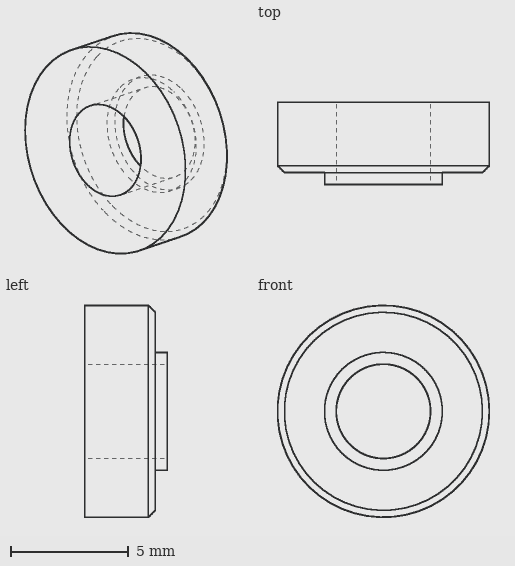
import cadquery as cq

outer_diameter = 9.0
bore_diameter = 4.0
boss_diameter = 5.0
total_width = 3.5
boss_height = 0.5
edge_chamfer = 0.3

body_width = total_width - boss_height

body = cq.Workplane("XZ").circle(outer_diameter / 2).extrude(body_width)

body = body.faces("<Y").edges().chamfer(edge_chamfer)

boss = cq.Workplane("XZ").circle(boss_diameter / 2).extrude(total_width)

bore = cq.Workplane("XZ").circle(bore_diameter / 2).extrude(total_width)

result = body.union(boss).cut(bore)